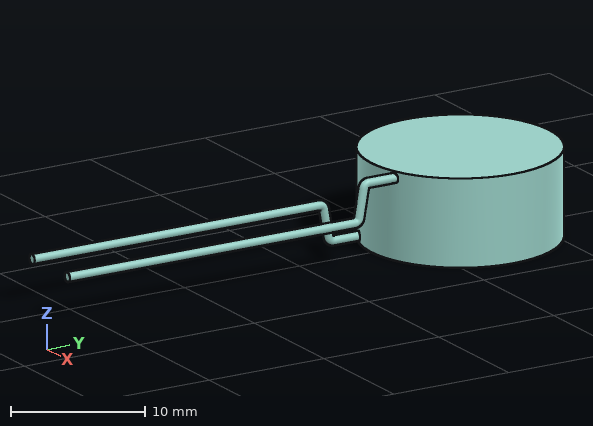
import cadquery as cq
import math

body_diameter = 15.5
body_height = 7.0
body_radius = body_diameter / 2

overall_length = 43.5
lead_diameter = 0.8
lead_spacing = 5.05
bend_radius = 0.415
exit_height = 2.95
first_corner_gap = 2.15
second_corner_gap = 2.65
embed_depth = 1.75

rim_y = -body_radius
first_corner_y = rim_y - first_corner_gap
second_corner_y = rim_y - second_corner_gap
tip_y = body_radius - overall_length


def make_lead(x, side):
    """Cranked wire at x; side is +1 or -1 for an exit near the top or bottom face."""
    exit_z = side * exit_height
    slope_y = second_corner_y - first_corner_y
    slope_length = math.hypot(slope_y, exit_height)
    unit_y = slope_y / slope_length
    unit_z = -side * exit_height / slope_length

    turn = math.acos(-unit_y)
    tangent = bend_radius * math.tan(turn / 2)
    first_bend_start = (first_corner_y + tangent, exit_z)
    first_bend_end = (first_corner_y + tangent * unit_y, exit_z + tangent * unit_z)
    second_bend_start = (second_corner_y - tangent * unit_y, -tangent * unit_z)
    second_bend_end = (second_corner_y - tangent, 0)

    path = (
        cq.Workplane("YZ", origin=(x, 0, 0))
        .moveTo(rim_y + embed_depth, exit_z)
        .lineTo(*first_bend_start)
        .tangentArcPoint(first_bend_end, relative=False)
        .lineTo(*second_bend_start)
        .tangentArcPoint(second_bend_end, relative=False)
        .lineTo(tip_y, 0)
    )
    return (
        cq.Workplane("XZ", origin=(x, rim_y + embed_depth, exit_z))
        .circle(lead_diameter / 2)
        .sweep(path)
    )


body = cq.Workplane("XY").circle(body_radius).extrude(body_height / 2, both=True)
left_lead = make_lead(-lead_spacing / 2, -1)
right_lead = make_lead(lead_spacing / 2, 1)

result = body.union(left_lead).union(right_lead)